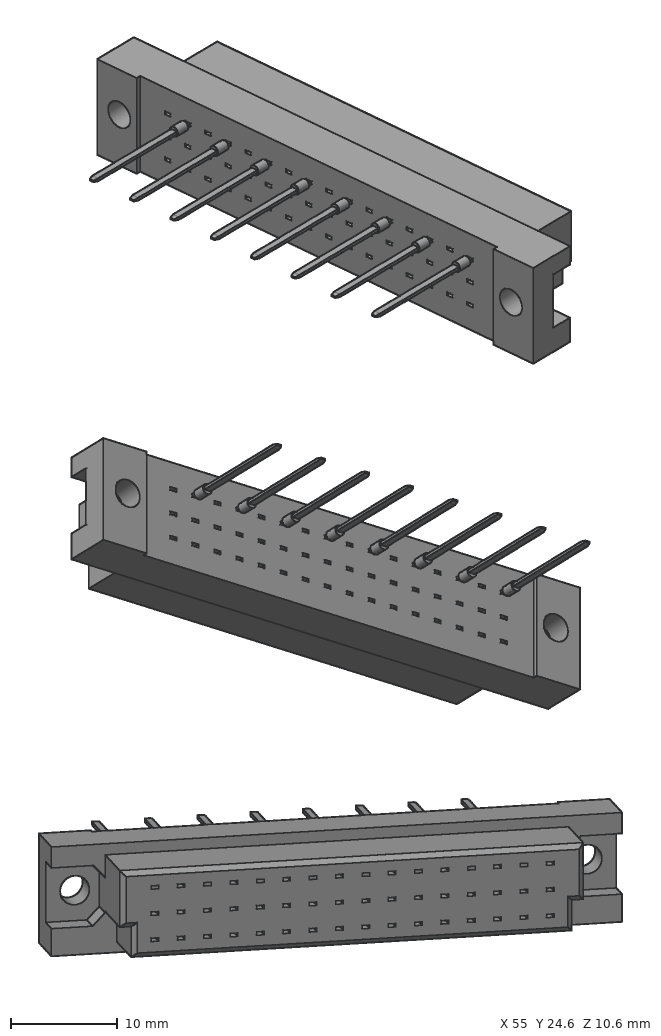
import cadquery as cq


FLANGE_LENGTH = 55.0
FLANGE_HEIGHT = 10.6
FLANGE_DEPTH = 5.15
RECESS_LENGTH = 45.0
RECESS_DEPTH = 0.5

PLUG_LENGTH = 44.65
PLUG_HEIGHT = 8.45
PLUG_DEPTH = 6.45
PLUG_CHAMFER = 0.5
KEY_STEP_WIDTH = 1.1
KEY_STEP_HEIGHT = 2.95

SCREW_SPACING = 49.4
SCREW_DIAMETER = 2.8
SCREW_HEIGHT = 0.35
NOTCH_HEIGHT = 5.9
NOTCH_INNER_HEIGHT = 3.4
NOTCH_DEPTH = 2.35
NOTCH_TAPER_LENGTH = 1.2

COLUMNS = 16
ROWS = 3
COLUMNS_SPAN = 38.1
PITCH = COLUMNS_SPAN / (COLUMNS - 1)
BLADE_WIDTH = 0.7
BLADE_HEIGHT = 0.35

PIN_COLUMN_STEP = 2
PIN_REACH = 13.0
TIP_LENGTH = 0.5
TIP_WIDTH = 0.5
TIP_HEIGHT = 0.15
COLLAR_DIAMETER = 1.05
COLLAR_LENGTH = 1.45

PLUG_END_Y = FLANGE_DEPTH + PLUG_DEPTH


def column_x(column):
    """X of a contact column, counted from the -X end."""
    return (column - (COLUMNS - 1) / 2) * PITCH


def row_z(row):
    """Z of a contact row, counted from the bottom."""
    return (row - (ROWS - 1) / 2) * PITCH


def make_block(length, y_start, y_end, height):
    """Box centred on X and Z that runs from y_start to y_end."""
    return cq.Workplane("XY").box(length, y_end - y_start, height).translate((0, (y_start + y_end) / 2, 0))


def make_plug():
    """Plug block with both lower corners stepped in and its free end chamfered."""
    half = PLUG_LENGTH / 2
    key_half = half - KEY_STEP_WIDTH
    top = PLUG_HEIGHT / 2
    key_z = KEY_STEP_HEIGHT - top
    outline = [
        (-half, top), (half, top), (half, key_z), (key_half, key_z),
        (key_half, -top), (-key_half, -top), (-key_half, key_z), (-half, key_z),
    ]
    plug = cq.Workplane("XZ", origin=(0, FLANGE_DEPTH, 0)).polyline(outline).close().extrude(-PLUG_DEPTH)
    return plug.faces(">Y").chamfer(PLUG_CHAMFER)


def make_notch(side):
    """Nut notch, open to one end of the flange (side -1 or +1), with sloping inner corners."""
    outer = side * FLANGE_LENGTH / 2
    inner = side * PLUG_LENGTH / 2
    taper = inner + side * NOTCH_TAPER_LENGTH
    half = NOTCH_HEIGHT / 2
    inner_half = NOTCH_INNER_HEIGHT / 2
    outline = [
        (outer, half), (taper, half), (inner, inner_half),
        (inner, -inner_half), (taper, -half), (outer, -half),
    ]
    back_plane = cq.Workplane("XZ", origin=(0, FLANGE_DEPTH, SCREW_HEIGHT))
    return back_plane.polyline(outline).close().extrude(NOTCH_DEPTH)


def make_housing():
    """Flange and plug in one piece, with screw holes, nut notches and through contact slots."""
    housing = make_block(FLANGE_LENGTH, 0, FLANGE_DEPTH, FLANGE_HEIGHT)
    housing = housing.cut(make_block(RECESS_LENGTH, 0, RECESS_DEPTH, FLANGE_HEIGHT))
    for side in (-1, 1):
        housing = housing.cut(make_notch(side))
    housing = housing.union(make_plug())
    screws = [(side * SCREW_SPACING / 2, SCREW_HEIGHT) for side in (-1, 1)]
    holes = cq.Workplane("XZ").pushPoints(screws).circle(SCREW_DIAMETER / 2).extrude(-FLANGE_DEPTH)
    places = [(column_x(column), row_z(row)) for column in range(COLUMNS) for row in range(ROWS)]
    slots = cq.Workplane("XZ").pushPoints(places).rect(BLADE_WIDTH, BLADE_HEIGHT).extrude(-PLUG_END_Y)
    return housing.cut(holes).cut(slots)


def make_pin(x, z):
    """Flat pin that fills its slot, with a tapered tip and a round collar in front of the flange."""
    blade = make_block(BLADE_WIDTH, TIP_LENGTH - PIN_REACH, PLUG_END_Y, BLADE_HEIGHT)
    tip = (
        cq.Workplane("XZ", origin=(0, -PIN_REACH, 0))
        .rect(TIP_WIDTH, TIP_HEIGHT)
        .workplane(offset=-TIP_LENGTH)
        .rect(BLADE_WIDTH, BLADE_HEIGHT)
        .loft()
    )
    collar = cq.Workplane("XZ").circle(COLLAR_DIAMETER / 2).extrude(COLLAR_LENGTH)
    return blade.union(tip).union(collar).translate((x, 0, z))


housing = make_housing()
pins = [make_pin(column_x(column), row_z(ROWS - 1)) for column in range(1, COLUMNS, PIN_COLUMN_STEP)]

result = cq.Compound.makeCompound([housing.val(), *[pin.val() for pin in pins]])